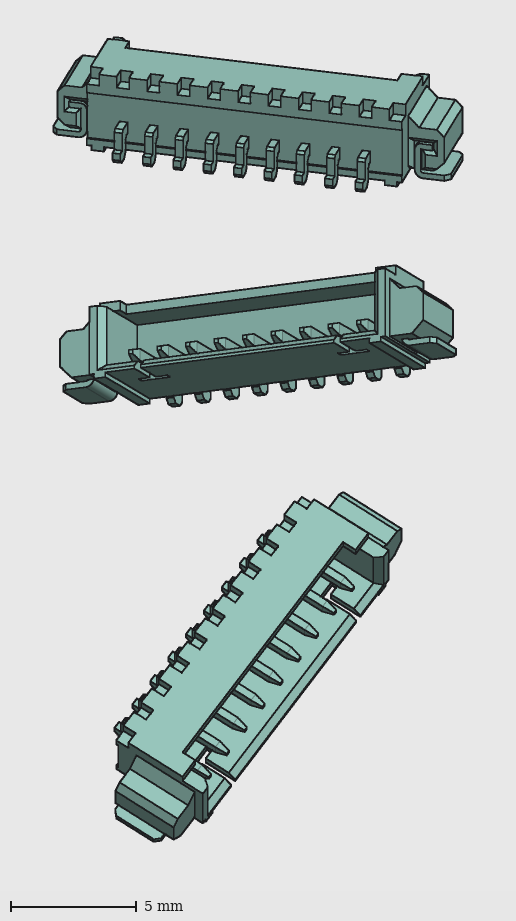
import cadquery as cq


pin_count = 9
pin_row_span = 10.0
pitch = pin_row_span / (pin_count - 1)
pin_width = 0.33
pin_top = 1.38
pin_height = 0.5
blade_y = 3.0
tip_y = 3.51
tip_size = 0.16
heel_y = -0.2
shin_y = -0.69
toe_y = -1.0
toe_top = 0.5
sole_chamfer = 0.2
knee_inner = 0.15
knee_outer = 0.11

length = 12.99
depth = 4.2
height = 3.4
bottom = 0.2
half_length = length / 2

rear_recess = 0.1
rear_recess_bottom = 0.5
rear_recess_top = 2.53
notch_width = 0.51
notch_depth = 0.59
notch_height = 0.5

side_wall = 0.6
floor_thickness = 0.4
back_wall = 1.0
wall_top = 3.0
mouth_step_y = 3.21
roof_edge_y = 2.6
roof_corner = 0.89
mouth_chamfer_depth = 0.31
mouth_chamfer_side = 0.26

slot_width = 0.28
slot_end_y = 2.77

foot_width = 0.51
foot_inset = 0.2

ear_rear_y = 0.98
ear_front_y = 3.8
ear_reach = 1.48
ear_bottom = 0.3
ear_top = 2.23
ear_root_top = 2.69
ear_corner = 0.3
ear_under_chamfer = 0.5
lead_in = 0.2
lead_in_left = 1.2
lead_in_top = 1.74
lead_in_step = 1.07
lead_in_leg = 0.7

clip_tip = 8.2
clip_front_y = 3.21
clip_thickness = 0.25
clip_leg_x = 6.75
clip_hook_x = 7.5
clip_top = 1.53
clip_bend = 0.26
clip_foot_bend = 0.36
clip_corner = 0.21

pin_positions = [(i - (pin_count - 1) / 2) * pitch for i in range(pin_count)]


def block(x0, x1, y0, y1, z0, z1):
    """Axis-aligned block between the given limits."""
    return cq.Workplane("XY").box(x1 - x0, y1 - y0, z1 - z0, centered=False).translate((x0, y0, z0))


def both_ends(shape):
    """The shape together with its mirror image at the other end of the row."""
    return shape.union(shape.mirror("YZ"))


def extrude_along_y(outline, y0, y1):
    """Extrude a closed (x, z) wire from y0 to y1."""
    return outline.extrude(-(y1 - y0)).translate((0, y0, 0))


def make_housing():
    profile = [
        (0, bottom),
        (depth, bottom),
        (depth, wall_top),
        (mouth_step_y, wall_top),
        (mouth_step_y, height),
        (0, height),
        (0, rear_recess_top),
        (rear_recess, rear_recess_top),
        (rear_recess, rear_recess_bottom),
        (0, rear_recess_bottom),
    ]
    body = cq.Workplane("YZ").polyline(profile).close().extrude(half_length, both=True)
    foot_x = -half_length + foot_inset
    foot = block(foot_x, foot_x + foot_width, 0, depth, 0, bottom)
    return body.union(both_ends(foot))


def make_cavity():
    """Open mouth with a lead-in chamfer on its sides and floor, and a cut-back roof."""
    half_width = half_length - side_wall
    floor = bottom + floor_thickness
    cavity = block(-half_width, half_width, back_wall, depth, floor, wall_top)
    roof_half = half_length - roof_corner
    roof_cut = block(-roof_half, roof_half, roof_edge_y, depth, floor, height)
    side_chamfer = (
        cq.Workplane("XY")
        .polyline([
            (-half_width, depth - mouth_chamfer_depth),
            (half_width, depth - mouth_chamfer_depth),
            (half_width + mouth_chamfer_side, depth),
            (-half_width - mouth_chamfer_side, depth),
        ])
        .close()
        .extrude(height)
    )
    floor_chamfer = (
        cq.Workplane("YZ")
        .polyline([
            (depth - mouth_chamfer_depth, floor),
            (depth, floor - mouth_chamfer_side),
            (depth, height),
            (depth - mouth_chamfer_depth, height),
        ])
        .close()
        .extrude(half_length, both=True)
    )
    return cavity.union(roof_cut).union(side_chamfer.intersect(floor_chamfer))


def make_rear_notches():
    """Notches in the top rear edge: one above each terminal and one at each corner."""
    half_notch = notch_width / 2
    z0 = height - notch_height
    corner = block(-half_length, -half_length + notch_width, 0, notch_depth, z0, height)
    notches = both_ends(corner)
    for x in pin_positions:
        notches = notches.union(block(x - half_notch, x + half_notch, 0, notch_depth, z0, height))
    return notches


def make_floor_slots():
    """T-shaped slots through the floor between the two outermost terminals at each end."""
    x = pin_positions[0] + pitch / 2
    top = bottom + floor_thickness
    stem = block(x - slot_width / 2, x + slot_width / 2, slot_end_y, depth, 0, top)
    bar = block(x - pitch / 2, x + pitch / 2, slot_end_y - slot_width, slot_end_y, 0, top)
    return both_ends(stem.union(bar))


def opening_wire(inset):
    """Outline of the clip opening, shrunk by inset at the same depth behind the rear face."""
    right = -half_length - inset
    left = -half_length - lead_in_left + inset
    leg_left = -half_length - lead_in_leg + inset
    top = lead_in_top - inset
    step = lead_in_step + inset
    outline = [(right, 0), (right, top), (left, top), (left, step), (leg_left, step), (leg_left, 0)]
    section = cq.Workplane("XZ", origin=(0, ear_rear_y + inset, 0)).polyline(outline).close()
    return section.val()


def make_ear():
    """Left ear, with a flared opening around the clip on its rear face."""
    outer_x = -half_length - ear_reach
    ear_outline = cq.Workplane("XZ").polyline([
        (-half_length, ear_bottom),
        (outer_x + ear_under_chamfer, ear_bottom),
        (outer_x, ear_bottom + ear_under_chamfer),
        (outer_x, ear_top - ear_corner),
        (outer_x + ear_corner, ear_top),
        (-half_length - (ear_root_top - ear_top), ear_top),
        (-half_length, ear_root_top),
    ]).close()
    ear = extrude_along_y(ear_outline, ear_rear_y, ear_front_y)

    opening = cq.Workplane(cq.Solid.makeLoft([opening_wire(0), opening_wire(lead_in)], True))
    under_edge = (
        cq.Workplane("YZ", origin=(outer_x, 0, 0))
        .polyline([
            (ear_rear_y, ear_bottom),
            (ear_rear_y + lead_in, ear_bottom),
            (ear_rear_y, ear_bottom + lead_in),
        ])
        .close()
        .extrude(ear_reach)
    )
    return ear.cut(opening).cut(under_edge)


def make_clip():
    """Left solder clip: a strip hooked into the ear and bent outward into a flat foot."""
    inner_x = -clip_leg_x
    outer_x = inner_x - clip_thickness
    inner_bend = clip_foot_bend - clip_thickness
    clip_outline = (
        cq.Workplane("XZ")
        .moveTo(-clip_tip, 0)
        .lineTo(inner_x - clip_foot_bend, 0)
        .radiusArc((inner_x, clip_foot_bend), -clip_foot_bend)
        .lineTo(inner_x, clip_top - clip_bend)
        .radiusArc((inner_x - clip_bend, clip_top), -clip_bend)
        .lineTo(-clip_hook_x, clip_top)
        .lineTo(-clip_hook_x, clip_top - clip_thickness)
        .lineTo(outer_x, clip_top - clip_thickness)
        .lineTo(outer_x, clip_foot_bend)
        .radiusArc((outer_x - inner_bend, clip_thickness), inner_bend)
        .lineTo(-clip_tip, clip_thickness)
        .close()
    )
    clip = extrude_along_y(clip_outline, ear_rear_y, clip_front_y)
    return clip.edges("|Z and <X").chamfer(clip_corner)


def make_terminal():
    """One terminal centred on X = 0: tapered contact blade inside, gull-wing tail outside."""
    pin_bottom = pin_top - pin_height
    profile = [
        (blade_y, pin_top),
        (shin_y + knee_outer, pin_top),
        (shin_y, pin_top - knee_outer),
        (shin_y, toe_top),
        (toe_y, toe_top),
        (toe_y, sole_chamfer),
        (toe_y + sole_chamfer, 0),
        (heel_y - sole_chamfer, 0),
        (heel_y, sole_chamfer),
        (heel_y, pin_bottom - knee_inner),
        (heel_y + knee_inner, pin_bottom),
        (blade_y, pin_bottom),
    ]
    strip = cq.Workplane("YZ").polyline(profile).close().extrude(pin_width / 2, both=True)
    tip = (
        cq.Workplane("XZ", origin=(0, blade_y, pin_top - pin_height / 2))
        .rect(pin_width, pin_height)
        .workplane(offset=blade_y - tip_y)
        .rect(tip_size, tip_size)
        .loft()
    )
    return strip.union(tip)


result = make_housing().cut(make_cavity()).cut(make_rear_notches()).cut(make_floor_slots())
result = result.union(both_ends(make_ear())).union(both_ends(make_clip()))

terminal = make_terminal()
for pin_x in pin_positions:
    result = result.union(terminal.translate((pin_x, 0, 0)))